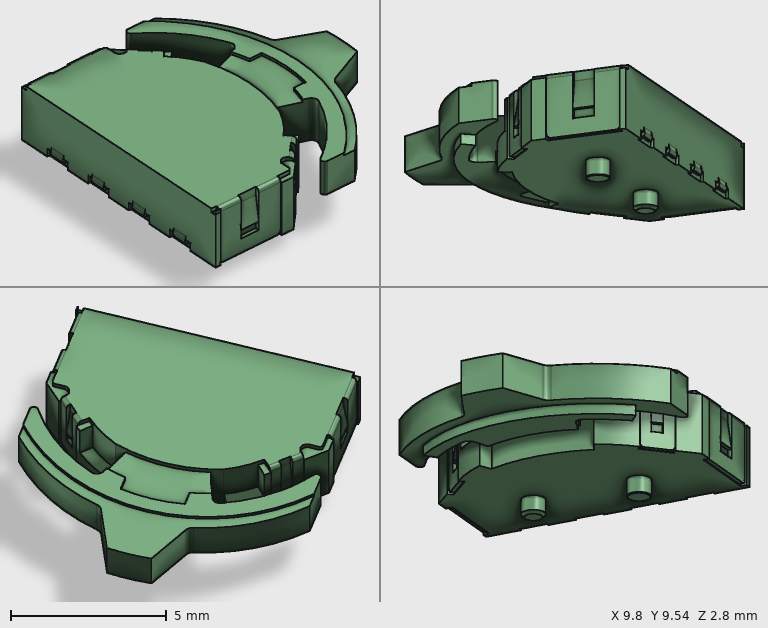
import cadquery as cq
import math

PIVOT_Y = 1.5

BODY_HALF_WIDTH = 4.76
BODY_HEIGHT = 2.2
SHEET = 0.15
HOUSING_TOP = BODY_HEIGHT - SHEET
HOUSING_RADIUS = 4.64
STOP_RADIUS = 4.16
STOP_INNER_ANGLE = 26.4
POST_INNER_ANGLE = 42.0
POST_OUTER_ANGLE = 45.0
STOP_HEIGHT = 1.0

COVER_HALF_WIDTH = 4.55
COVER_REAR_Y = 5.55
COVER_FLAT_ANGLE = 26.0
COVER_SIDE_Y = 3.38
COVER_SIDE_RADIUS = 0.1
CORNER_RELIEF_START = (-4.12, COVER_SIDE_Y)
CORNER_RELIEF_NOSE = (-3.9, 3.62)
CORNER_LIP_THICKNESS = 0.03

BEND_RADIUS = 0.148
PLATE_BOTTOM = 0.03
PLATE_CORNER = 0.15
SIDE_PLATE_START = 0.21
SIDE_PLATE_END = 2.80
SIDE_WINDOW_WIDTH = 0.75
DIAGONAL_PLATE_CENTRE = (-3.665, 4.31)
DIAGONAL_PLATE_LENGTH = 1.2
DIAGONAL_WINDOW_WIDTH = 0.41
DIAGONAL_TILT = -45.0
WINDOW_BOTTOM = 0.59
CATCH_BOTTOM = 0.92
CATCH_TOP = 1.90

TERMINAL_PITCH = 2.0
TERMINAL_COUNT = 4
TERMINAL_WIDTH = 0.6
TERMINAL_REACH = 0.04
TERMINAL_BOTTOM = 0.16
TERMINAL_TOP = 0.46
TERMINAL_CREST = 0.31
RELIEF_WIDTH = 1.0
RELIEF_HEIGHT = 0.3
RELIEF_DEPTH = 0.1

PIN_X = 1.91
PIN_Y = 2.205
PIN_RADIUS = 0.4
PIN_LENGTH = 0.6
LEFT_PIN_CHAMFER = 0.03
RIGHT_PIN_CHAMFER = 0.1

LEVER_HALF_WIDTH = 4.9
LEVER_BOTTOM = 0.85
LEVER_TOP = 2.05
LEVER_INNER_RADIUS = 5.55
LEVER_OUTER_RADIUS = 6.5
LEVER_REAR_Y = 9.5
LEVER_FRONT_Y = 4.0
TIP_FILLET = 0.14
TAB_HALF_TOP = 0.75
TAB_ROOT_ANGLE = 13.2
TAB_FILLET = 0.3
ARM_HALF_ANGLE = 20.3
ARM_INNER_RADIUS = 3.86
ARM_FILLET = 0.25
RIM_TOP = 2.15
RIM_CENTRE_Y = 1.2
RIM_RADIUS = 6.4
RIM_INNER_RADIUS = 5.1
RIM_NOTCH_RADIUS = 5.6
RIM_NOTCH_HALF_WIDTH = 1.08
RAIL_BOTTOM = 0.5
RAIL_INNER_RADIUS = 4.7
RAIL_OUTER_RADIUS = 6.04
RAIL_HALF_ANGLE = 39.5


def polar(radius, angle):
    """Point at an angle in degrees from +Y about the pivot, positive toward -X."""
    turn = math.radians(angle)
    return (-radius * math.sin(turn), PIVOT_Y + radius * math.cos(turn))


def mirrored(point):
    return (-point[0], point[1])


def both_sides(solid):
    return solid.union(solid.mirror("YZ"))


def disk(radius, bottom, top, centre_y=PIVOT_Y):
    return cq.Workplane("XY", origin=(0, centre_y, bottom)).circle(radius).extrude(top - bottom)


def ring_sector(inner, outer, start, end, bottom, top):
    """Ring segment about the pivot between two angles."""
    middle = (start + end) / 2
    return (
        cq.Workplane("XY", origin=(0, 0, bottom))
        .moveTo(*polar(inner, start))
        .lineTo(*polar(outer, start))
        .threePointArc(polar(outer, middle), polar(outer, end))
        .lineTo(*polar(inner, end))
        .threePointArc(polar(inner, middle), polar(inner, start))
        .close()
        .extrude(top - bottom)
    )


def block(x_range, y_range, z_range):
    corner = (x_range[0], y_range[0], z_range[0])
    sizes = [end - start for start, end in (x_range, y_range, z_range)]
    return cq.Workplane("XY", origin=corner).box(*sizes, centered=False)


def draw_rear_edge(sketch):
    """Rear edge from left to right, flattened in the middle; starts at the left post."""
    flat_start = polar(STOP_RADIUS, COVER_FLAT_ANGLE)
    side_middle = polar(STOP_RADIUS, (POST_OUTER_ANGLE + COVER_FLAT_ANGLE) / 2)
    rear_corner = polar(STOP_RADIUS, POST_OUTER_ANGLE)
    return (
        sketch.threePointArc(side_middle, flat_start)
        .threePointArc((0, COVER_REAR_Y), mirrored(flat_start))
        .threePointArc(mirrored(side_middle), mirrored(rear_corner))
    )


def make_housing():
    diagonal_end = polar(HOUSING_RADIUS, POST_OUTER_ANGLE)
    side_end = (-BODY_HALF_WIDTH, diagonal_end[1] - (BODY_HALF_WIDTH + diagonal_end[0]))
    rear_corner = polar(STOP_RADIUS, POST_OUTER_ANGLE)
    outline = (
        cq.Workplane("XY")
        .moveTo(-BODY_HALF_WIDTH, 0)
        .lineTo(*side_end)
        .lineTo(*diagonal_end)
        .lineTo(*rear_corner)
    )
    housing = (
        draw_rear_edge(outline)
        .lineTo(*mirrored(diagonal_end))
        .lineTo(*mirrored(side_end))
        .lineTo(BODY_HALF_WIDTH, 0)
        .close()
        .extrude(HOUSING_TOP)
    )
    overlap_radius = STOP_RADIUS - SHEET
    post = ring_sector(overlap_radius, HOUSING_RADIUS, POST_INNER_ANGLE, POST_OUTER_ANGLE, 0, HOUSING_TOP)
    stop = ring_sector(overlap_radius, HOUSING_RADIUS, STOP_INNER_ANGLE, POST_INNER_ANGLE, 0, STOP_HEIGHT)
    return housing.union(both_sides(post.union(stop)))


def make_cover_top():
    rear_corner = polar(STOP_RADIUS, POST_OUTER_ANGLE)
    inset = SHEET * math.sqrt(0.5)
    half_length = DIAGONAL_PLATE_LENGTH / 2 * math.sqrt(0.5)
    bend_x = DIAGONAL_PLATE_CENTRE[0] + inset
    bend_y = DIAGONAL_PLATE_CENTRE[1] - inset
    bend_rear = (bend_x + half_length, bend_y + half_length)
    bend_front = (bend_x - half_length, bend_y - half_length)
    side_round = COVER_SIDE_RADIUS * (1 - math.sqrt(0.5))
    outline = (
        cq.Workplane("XY", origin=(0, 0, HOUSING_TOP))
        .moveTo(-COVER_HALF_WIDTH, 0)
        .lineTo(-COVER_HALF_WIDTH, COVER_SIDE_Y - COVER_SIDE_RADIUS)
        .threePointArc(
            (-COVER_HALF_WIDTH + side_round, COVER_SIDE_Y - side_round),
            (-COVER_HALF_WIDTH + COVER_SIDE_RADIUS, COVER_SIDE_Y),
        )
        .lineTo(*CORNER_RELIEF_START)
        .threePointArc(CORNER_RELIEF_NOSE, bend_front)
        .lineTo(*bend_rear)
        .lineTo(*rear_corner)
    )
    left_contour = draw_rear_edge(outline).lineTo(-rear_corner[0], 0).close().extrude(SHEET)
    left_half = left_contour.intersect(
        block((-BODY_HALF_WIDTH, 0), (0, COVER_REAR_Y), (HOUSING_TOP, BODY_HEIGHT))
    )
    return both_sides(left_half)


def make_plate(length, window_width):
    """Bent-down cover plate facing -X with a latch window; outer face centred on the origin."""
    plate = (
        block((0, SHEET), (-length / 2, length / 2), (PLATE_BOTTOM, BODY_HEIGHT))
        .edges("|X and <Z").fillet(PLATE_CORNER)
        .edges("|Y and <X and >Z").fillet(BEND_RADIUS)
    )
    window = block((0, SHEET), (-window_width / 2, window_width / 2), (WINDOW_BOTTOM, BODY_HEIGHT))
    catch = (
        cq.Workplane("XZ", origin=(0, window_width / 2, 0))
        .polyline([(0, CATCH_BOTTOM), (SHEET, CATCH_BOTTOM), (SHEET, CATCH_TOP)])
        .close()
        .extrude(window_width)
    )
    return plate.cut(window).union(catch)


def add_plate(body, length, window_width, centre, tilt):
    """Let a plate into both sides of the body."""
    plate = make_plate(length, window_width)
    pocket = block((-SHEET, SHEET), (-length / 2, length / 2), (0, BODY_HEIGHT))

    def place(solid):
        return both_sides(solid.rotate((0, 0, 0), (0, 0, 1), tilt).translate((centre[0], centre[1], 0)))

    return body.cut(place(pocket)).union(place(plate))


def make_corner_lip():
    """Thin upright edge on the +X front corner of the housing."""
    inner_x = BODY_HALF_WIDTH - CORNER_LIP_THICKNESS
    return block((inner_x, BODY_HALF_WIDTH), (0, SIDE_PLATE_START), (HOUSING_TOP, BODY_HEIGHT))


def add_terminals(body):
    round_middle = (-TERMINAL_REACH * math.sqrt(0.75), (TERMINAL_CREST + TERMINAL_BOTTOM) / 2)
    for index in range(TERMINAL_COUNT):
        x = (index - (TERMINAL_COUNT - 1) / 2) * TERMINAL_PITCH
        relief_x = (x - RELIEF_WIDTH / 2, x + RELIEF_WIDTH / 2)
        relief = block(relief_x, (0, RELIEF_DEPTH), (0, RELIEF_HEIGHT))
        terminal = (
            cq.Workplane("YZ", origin=(x - TERMINAL_WIDTH / 2, 0, 0))
            .moveTo(RELIEF_DEPTH, TERMINAL_TOP)
            .lineTo(0, TERMINAL_TOP)
            .lineTo(-TERMINAL_REACH, TERMINAL_CREST)
            .threePointArc(round_middle, (0, TERMINAL_BOTTOM))
            .lineTo(RELIEF_DEPTH, TERMINAL_BOTTOM)
            .close()
            .extrude(TERMINAL_WIDTH)
        )
        body = body.cut(relief).union(terminal)
    return body


def make_pin(x, chamfer):
    pin = cq.Workplane("XY", origin=(x, PIN_Y, 0)).circle(PIN_RADIUS).extrude(-PIN_LENGTH)
    return pin.faces("<Z").chamfer(chamfer)


def make_lever_blank(bottom, top):
    """Curved lever with its finger tab and the arm that enters the housing."""
    tab_radius = LEVER_REAR_Y - PIVOT_Y
    tab_corner_y = PIVOT_Y + math.sqrt(tab_radius**2 - TAB_HALF_TOP**2)
    tab_root = polar(LEVER_OUTER_RADIUS, TAB_ROOT_ANGLE)
    tab = (
        cq.Workplane("XY", origin=(0, 0, bottom))
        .moveTo(*tab_root)
        .lineTo(-TAB_HALF_TOP, tab_corner_y)
        .threePointArc((0, LEVER_REAR_Y), (TAB_HALF_TOP, tab_corner_y))
        .lineTo(*mirrored(tab_root))
        .close()
        .extrude(top - bottom)
    )
    span = block((-LEVER_HALF_WIDTH, LEVER_HALF_WIDTH), (LEVER_FRONT_Y, LEVER_REAR_Y), (bottom, top))
    bow = disk(LEVER_OUTER_RADIUS, bottom, top).cut(disk(LEVER_INNER_RADIUS, bottom, top)).intersect(span)
    arm_outer = (LEVER_INNER_RADIUS + LEVER_OUTER_RADIUS) / 2
    arm = ring_sector(ARM_INNER_RADIUS, arm_outer, -ARM_HALF_ANGLE, ARM_HALF_ANGLE, bottom, top)
    blank = bow.union(tab).union(arm)

    def round_pair(solid, point, radius):
        for x, y in (point, mirrored(point)):
            near = cq.selectors.NearestToPointSelector((x, y, (bottom + top) / 2))
            solid = solid.edges("|Z").edges(near).fillet(radius)
        return solid

    tip_y = PIVOT_Y + math.sqrt(LEVER_INNER_RADIUS**2 - LEVER_HALF_WIDTH**2)
    blank = round_pair(blank, tab_root, TAB_FILLET)
    blank = round_pair(blank, polar(LEVER_INNER_RADIUS, ARM_HALF_ANGLE), ARM_FILLET)
    return round_pair(blank, (-LEVER_HALF_WIDTH, tip_y), TIP_FILLET)


def make_lever():
    lever = make_lever_blank(LEVER_BOTTOM, LEVER_TOP)
    notch_x = (-RIM_NOTCH_HALF_WIDTH, RIM_NOTCH_HALF_WIDTH)
    notch_span = block(notch_x, (PIVOT_Y, LEVER_REAR_Y), (LEVER_BOTTOM, RIM_TOP))
    notch = disk(RIM_NOTCH_RADIUS, LEVER_BOTTOM, RIM_TOP).intersect(notch_span)
    rim = (
        make_lever_blank(LEVER_BOTTOM, RIM_TOP)
        .intersect(disk(RIM_RADIUS, LEVER_BOTTOM, RIM_TOP, RIM_CENTRE_Y))
        .cut(disk(RIM_INNER_RADIUS, LEVER_BOTTOM, RIM_TOP))
        .cut(notch)
    )
    rail_sector = ring_sector(
        RAIL_INNER_RADIUS, RAIL_OUTER_RADIUS, -RAIL_HALF_ANGLE, RAIL_HALF_ANGLE, RAIL_BOTTOM, LEVER_BOTTOM
    )
    rail = make_lever_blank(RAIL_BOTTOM, LEVER_BOTTOM).intersect(rail_sector)
    return lever.union(rim).union(rail)


body = make_housing().union(make_cover_top())
side_plate_length = SIDE_PLATE_END - SIDE_PLATE_START
side_plate_centre = (-COVER_HALF_WIDTH - SHEET, (SIDE_PLATE_START + SIDE_PLATE_END) / 2)
body = add_plate(body, side_plate_length, SIDE_WINDOW_WIDTH, side_plate_centre, 0)
body = add_plate(body, DIAGONAL_PLATE_LENGTH, DIAGONAL_WINDOW_WIDTH, DIAGONAL_PLATE_CENTRE, DIAGONAL_TILT)
body = add_terminals(body.union(make_corner_lip()))
body = body.union(make_pin(-PIN_X, LEFT_PIN_CHAMFER)).union(make_pin(PIN_X, RIGHT_PIN_CHAMFER))
result = body.union(make_lever())